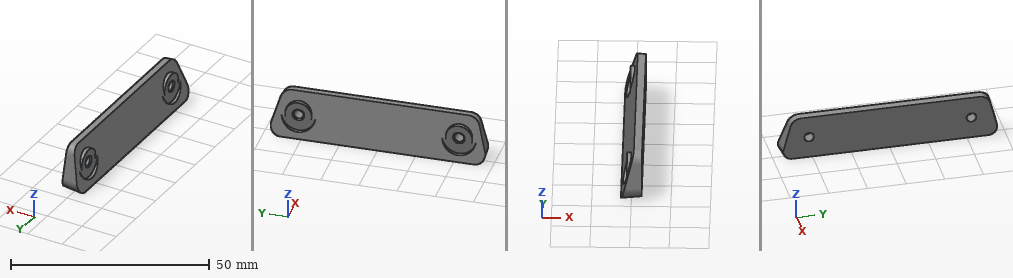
import cadquery as cq
import math

depth = 5.3
height = 12.3
draft_angle = 5.0
end_lean = 15.0
back_bottom_width = 56.8
lower_corner_radius = 2.35
upper_corner_radius = 2.85

upper_edge_x = 3.25

hole_spacing = 42.05
hole_z = 6.3
seat_x = 1.45
boss_diameter = 6.95
pocket_diameter = 9.0
hole_diameter = 2.5
hole_chamfer = 0.35

draft_slope = math.tan(math.radians(draft_angle))
back_bottom_z = depth * draft_slope
back_top_z = height - (depth - upper_edge_x) * draft_slope
end_inset = (back_top_z - back_bottom_z) * math.tan(math.radians(end_lean))


def make_drafted_plate():
    """Rounded trapezoid growing from the back face towards -X."""
    bottom_half = back_bottom_width / 2
    top_half = bottom_half - end_inset
    outline = (
        cq.Sketch()
        .polygon([
            (-bottom_half, back_bottom_z),
            (bottom_half, back_bottom_z),
            (top_half, back_top_z),
            (-top_half, back_top_z),
            (-bottom_half, back_bottom_z),
        ])
        .vertices("<Y")
        .fillet(lower_corner_radius)
        .reset()
        .vertices(">Y")
        .fillet(upper_corner_radius)
    )
    back_plane = cq.Plane(origin=(depth, 0, 0), xDir=(0, -1, 0), normal=(-1, 0, 0))
    return cq.Workplane(back_plane).placeSketch(outline).extrude(depth, taper=-draft_angle)


def make_front_wedge():
    """Material in front of the sloping face, extended beyond the plate."""
    margin = height
    slope = upper_edge_x / height
    return (
        cq.Workplane("XZ")
        .moveTo(-slope * margin, -margin)
        .lineTo(slope * (height + margin), height + margin)
        .lineTo(-depth, height + margin)
        .lineTo(-depth, -margin)
        .close()
        .extrude(back_bottom_width, both=True)
    )


def make_cylinder(diameter, y, start_x, end_x):
    """Cylinder along X at the height of the holes."""
    return (
        cq.Workplane("YZ", origin=(start_x, y, hole_z))
        .circle(diameter / 2)
        .extrude(end_x - start_x)
    )


def make_hole(y):
    """Through hole with a chamfered mouth on the seat."""
    mouth = cq.Solid.makeCone(
        hole_diameter / 2 + hole_chamfer,
        hole_diameter / 2,
        hole_chamfer,
        pnt=cq.Vector(seat_x, y, hole_z),
        dir=cq.Vector(1, 0, 0),
    )
    return make_cylinder(hole_diameter, y, 0, depth).union(cq.Workplane(mouth))


def add_seat(body, y):
    """Flat seat: a pocket below and a boss above, both ending at seat_x."""
    body = body.cut(make_cylinder(pocket_diameter, y, -depth, seat_x))
    body = body.union(make_cylinder(boss_diameter, y, seat_x, upper_edge_x))
    return body.cut(make_hole(y))


result = make_drafted_plate().cut(make_front_wedge())
for seat_y in (-hole_spacing / 2, hole_spacing / 2):
    result = add_seat(result, seat_y)